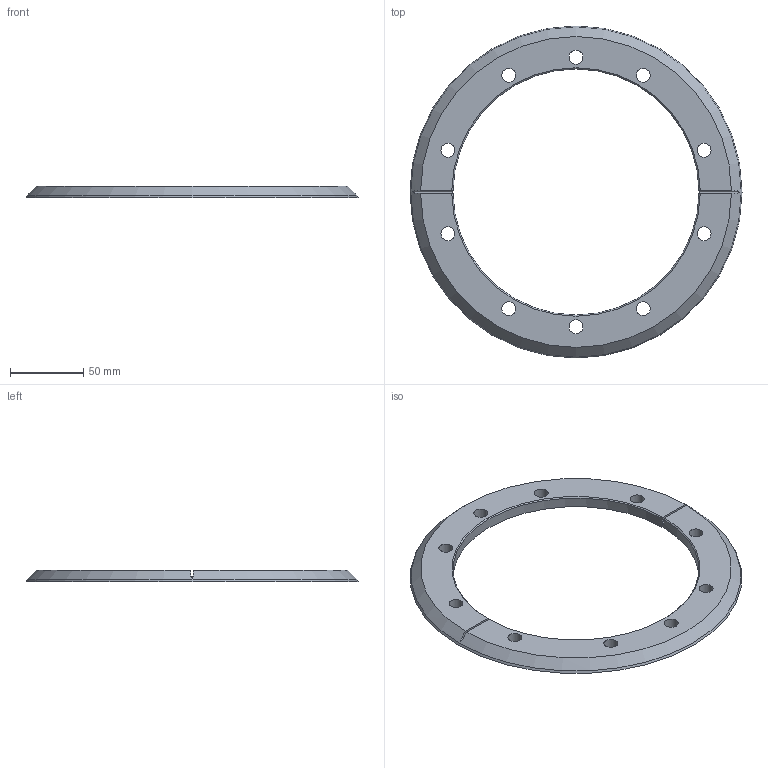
import cadquery as cq
import math

outer_diameter = 227.01
height = 7.95
bore_diameter = 168.275
bore_chamfer = 0.8
rim_height = 1.5
rim_taper = 0.8
top_diameter = 212.6

hole_diameter = 9.525
bolt_circle_diameter = 184.15
side_hole_angles = (18, 60)

groove_width = 1.6
groove_wall_depth = 4.0
groove_tip_depth = 5.6


def make_ring():
    """Revolve the section: slightly tapered rim, conical outer flank, chamfered bore."""
    outer_radius = outer_diameter / 2
    bore_radius = bore_diameter / 2
    section = (
        cq.Workplane("XZ")
        .moveTo(bore_radius, 0)
        .lineTo(outer_radius, 0)
        .lineTo(outer_radius - rim_taper, rim_height)
        .lineTo(top_diameter / 2, height)
        .lineTo(bore_radius + bore_chamfer, height)
        .lineTo(bore_radius, height - bore_chamfer)
        .close()
    )
    return section.revolve(360, (0, 0, 0), (0, 1, 0))


def make_bolt_holes():
    """Cylinders for all bolt holes, symmetric about both the X and Y axes."""
    upper_angles = [90]
    for angle in side_hole_angles:
        upper_angles += [angle, 180 - angle]
    radius = bolt_circle_diameter / 2
    centers = []
    for angle in upper_angles:
        x = radius * math.cos(math.radians(angle))
        y = radius * math.sin(math.radians(angle))
        centers += [(x, y), (x, -y)]
    return cq.Workplane("XY").pushPoints(centers).circle(hole_diameter / 2).extrude(height)


def make_dividing_groove():
    """Straight cutter across the full diameter, pointed at the bottom."""
    half_width = groove_width / 2
    wall_bottom = height - groove_wall_depth
    profile = (
        cq.Workplane("YZ")
        .moveTo(-half_width, height)
        .lineTo(-half_width, wall_bottom)
        .lineTo(0, height - groove_tip_depth)
        .lineTo(half_width, wall_bottom)
        .lineTo(half_width, height)
        .close()
    )
    return profile.extrude(outer_diameter / 2, both=True)


result = make_ring().cut(make_bolt_holes()).cut(make_dividing_groove())